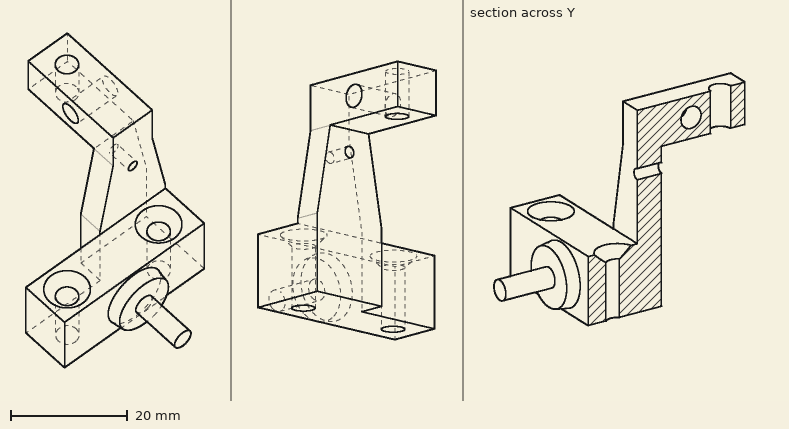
import cadquery as cq


block_length = 32.0
block_thickness = 10.0
block_height = 13.0
screw_hole_diameter = 4.0
countersink_diameter = 8.0
countersink_angle = 90.0
front_screw_inset = 5.05
rear_screw_inset = 6.0

plate_thickness = 5.0
plate_width = 15.0
plate_shoulder_height = 13.95
plate_hole_diameter = 2.0
plate_hole_height = 26.0

total_height = 38.0
arm_length = 22.0
arm_width = 9.0
arm_height = 8.0
arm_hole_diameter = 4.0
vertical_hole_inset = 5.0
cross_hole_inset = arm_length / 2

collar_base_diameter = 12.0
collar_end_diameter = 11.2
collar_length = 2.5
pin_diameter = 3.8
total_length = 44.5

block_end = arm_length + block_thickness
collar_end = block_end + collar_length
plate_center_y = block_length - plate_width / 2
arm_bottom = total_height - arm_height


def make_block():
    """Block with two countersunk vertical screw holes."""
    block = cq.Workplane("XY").box(
        block_thickness, block_length, block_height, centered=False
    )
    block = block.translate((arm_length, 0, 0))
    screw_x = arm_length + block_thickness / 2
    screw_points = [
        (screw_x, front_screw_inset),
        (screw_x, block_length - rear_screw_inset),
    ]
    return (
        block.faces(">Z")
        .workplane(origin=(0, 0, block_height))
        .pushPoints(screw_points)
        .cskHole(screw_hole_diameter, countersink_diameter, countersink_angle)
    )


def make_plate():
    """Upright plate with sloping shoulders and a small hole along X."""
    half_width = plate_width / 2
    half_top = arm_width / 2
    plane = cq.Workplane("YZ", origin=(arm_length - plate_thickness, plate_center_y, 0))
    outline = [
        (-half_width, 0),
        (half_width, 0),
        (half_width, plate_shoulder_height),
        (half_top, arm_bottom),
        (-half_top, arm_bottom),
        (-half_width, plate_shoulder_height),
    ]
    plate = plane.polyline(outline).close().extrude(plate_thickness)
    hole = (
        plane.center(0, plate_hole_height)
        .circle(plate_hole_diameter / 2)
        .extrude(plate_thickness)
    )
    return plate.cut(hole)


def make_arm():
    """Rectangular arm with one vertical and one crosswise hole."""
    arm_front = plate_center_y - arm_width / 2
    arm = cq.Workplane("XY").box(arm_length, arm_width, arm_height, centered=False)
    arm = arm.translate((0, arm_front, arm_bottom))
    vertical_hole = (
        cq.Workplane("XY", origin=(vertical_hole_inset, plate_center_y, arm_bottom))
        .circle(arm_hole_diameter / 2)
        .extrude(arm_height)
    )
    cross_hole = (
        cq.Workplane("XZ", origin=(cross_hole_inset, arm_front, arm_bottom + arm_height / 2))
        .circle(arm_hole_diameter / 2)
        .extrude(-arm_width)
    )
    return arm.cut(vertical_hole).cut(cross_hole)


def make_collar_and_pin():
    """Tapered collar and pin, turned about the block's centre line along X."""
    profile = [
        (block_end, 0),
        (block_end, collar_base_diameter / 2),
        (collar_end, collar_end_diameter / 2),
        (collar_end, pin_diameter / 2),
        (total_length, pin_diameter / 2),
        (total_length, 0),
    ]
    turned = cq.Workplane("XY").polyline(profile).close().revolve(360, (0, 0), (1, 0))
    return turned.translate((0, block_length / 2, block_height / 2))


result = make_block().union(make_plate()).union(make_arm()).union(make_collar_and_pin())